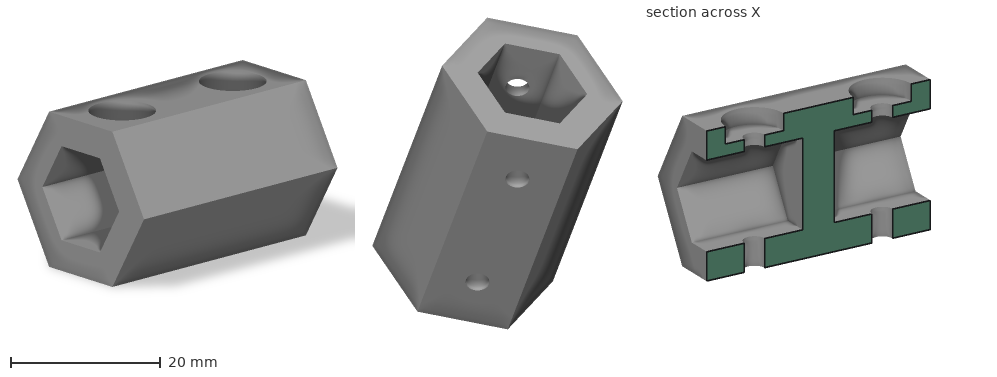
import cadquery as cq
import math

length = 35.0
across_corners = 25.0
socket_across_corners = 15.15
wall_thickness = 5.0
socket_depth = (length - wall_thickness) / 2

hole_offset = (length - socket_depth) / 2
hole_diameter = 3.2
counterbore_diameter = 9.03
counterbore_depth = 2.5

height = across_corners * math.cos(math.pi / 6)
top_z = height / 2


def hex_bar(corner_diameter, start_y, bar_length):
    """Hexagonal bar along +Y with flats facing up and down."""
    plane = cq.Workplane("XZ", origin=(0, start_y, 0))
    return plane.polygon(6, corner_diameter).extrude(-bar_length)


def screw_hole(y):
    """Through hole with its counterbore, as a cutting solid."""
    shank = cq.Workplane("XY", origin=(0, y, -top_z)).circle(hole_diameter / 2).extrude(height)
    head = cq.Workplane("XY", origin=(0, y, top_z)).circle(counterbore_diameter / 2).extrude(-counterbore_depth)
    return shank.union(head)


result = hex_bar(across_corners, -length / 2, length)

for socket_start in (-length / 2, wall_thickness / 2):
    result = result.cut(hex_bar(socket_across_corners, socket_start, socket_depth))

for hole_y in (-hole_offset, hole_offset):
    result = result.cut(screw_hole(hole_y))